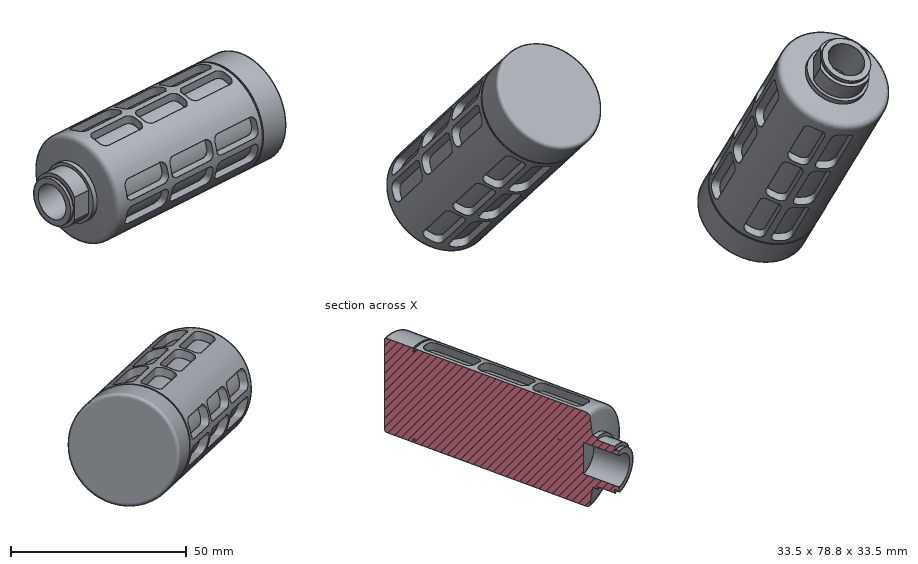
import cadquery as cq
import math

total_length = 78.8
body_diameter = 33.5
body_radius = body_diameter / 2

bore_diameter = 11.0
bore_depth = 12.0
tip_diameter = 14.7
tip_length = 1.5
relief_diameter = 14.05
relief_width = 0.3
spanner_diameter = 16.6
spanner_across_flats = 14.8
flange_diameter = 18.5

flange_front = 7.3
flange_back = 8.9

cone_angle = 7.6
rim_radius = 1.5

cap_length = 9.7
cap_edge_radius = 1.0
cap_groove_width = 0.5
cap_groove_diameter = 31.0

window_length = 16.9
window_width = 6.3
window_corner_radius = 2.0
window_floor_diameter = 28.5
window_gap = 2.0
window_pitch = 18.3
window_rows = 3
window_sides = 4
back_row_center = 58.65


def revolve_about_y(profile):
    return profile.close().revolve(360, (0, 0, 0), (0, 1, 0))


def cylinder_along_y(diameter, start, length):
    """Cylinder on the Y axis, from Y = start towards +Y."""
    return cq.Workplane("XZ", origin=(0, start, 0)).circle(diameter / 2).extrude(-length)


def make_body():
    """Cylindrical body with a conical front, rounded ends and the cap groove."""
    cone_rise = (body_radius - flange_diameter / 2) * math.tan(math.radians(cone_angle))
    body = revolve_about_y(
        cq.Workplane("XY")
        .moveTo(0, flange_back)
        .lineTo(flange_diameter / 2, flange_back)
        .lineTo(body_radius, flange_back + cone_rise)
        .lineTo(body_radius, total_length)
        .lineTo(0, total_length)
    )
    body = body.faces("%CYLINDER").edges("<Y").fillet(rim_radius)
    body = body.faces(">Y").edges().fillet(cap_edge_radius)

    groove_start = total_length - cap_length - cap_groove_width
    groove = cylinder_along_y(body_diameter, groove_start, cap_groove_width).cut(
        cylinder_along_y(cap_groove_diameter, groove_start, cap_groove_width)
    )
    return body.cut(groove)


def make_connector():
    """Stepped connector with a relief groove and two flats facing -X and +X."""
    relief_start = tip_length - relief_width
    connector = revolve_about_y(
        cq.Workplane("XY")
        .lineTo(tip_diameter / 2, 0)
        .lineTo(tip_diameter / 2, relief_start)
        .lineTo(relief_diameter / 2, relief_start)
        .lineTo(relief_diameter / 2, tip_length)
        .lineTo(spanner_diameter / 2, tip_length)
        .lineTo(spanner_diameter / 2, flange_front)
        .lineTo(flange_diameter / 2, flange_front)
        .lineTo(flange_diameter / 2, flange_back)
        .lineTo(0, flange_back)
    )
    cutter_size = spanner_diameter
    cutter_offset = (spanner_across_flats + cutter_size) / 2
    flat_cutters = (
        cq.Workplane("XZ", origin=(0, tip_length, 0))
        .pushPoints([(-cutter_offset, 0), (cutter_offset, 0)])
        .rect(cutter_size, cutter_size)
        .extrude(tip_length - flange_front)
    )
    return connector.cut(flat_cutters)


def make_side_windows():
    """Recesses of the +Z side, each with part of the floor cylinder as its floor."""
    offset = (window_gap + window_width) / 2
    centers = [
        (x, back_row_center - row * window_pitch)
        for row in range(window_rows)
        for x in (-offset, offset)
    ]
    return (
        cq.Workplane("XY")
        .pushPoints(centers)
        .rect(window_width, window_length)
        .extrude(body_radius)
        .edges("|Z")
        .fillet(window_corner_radius)
        .cut(cylinder_along_y(window_floor_diameter, 0, total_length))
    )


bore = cylinder_along_y(bore_diameter, 0, bore_depth)
result = make_body().union(make_connector()).cut(bore)

side_windows = make_side_windows()
for side in range(window_sides):
    angle = side * 360 / window_sides
    result = result.cut(side_windows.rotate((0, 0, 0), (0, 1, 0), angle))